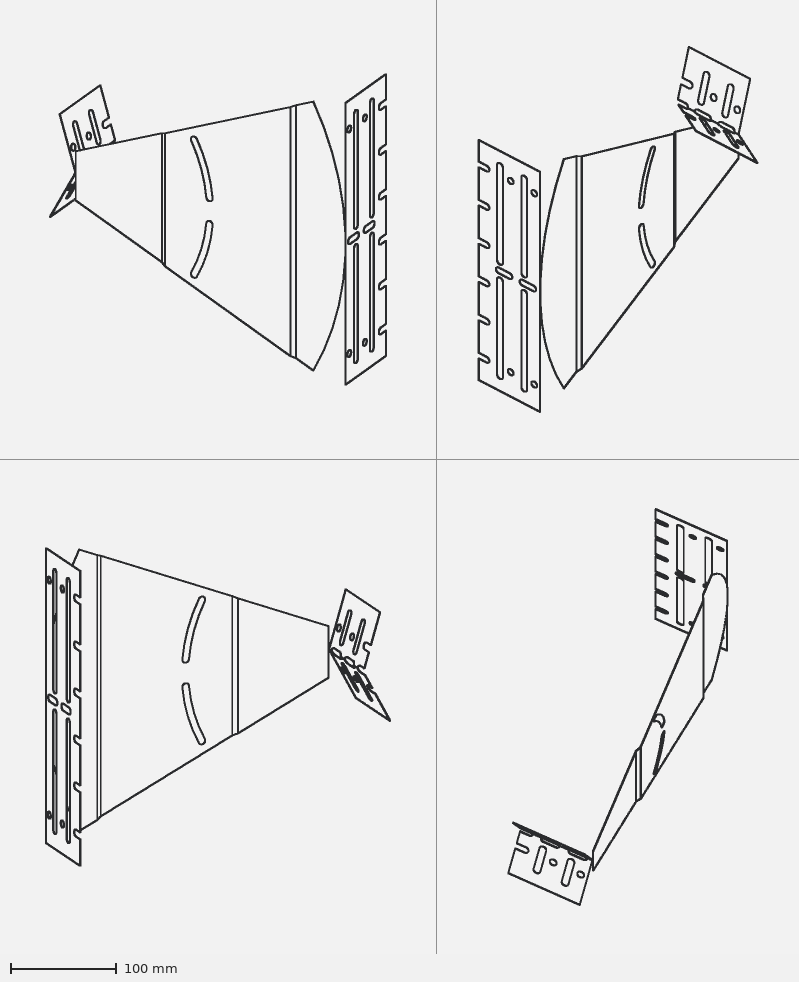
import cadquery as cq
import math

sheet = 0.8
strip_width = 75.0
cut_reach = 5.0

slot_width = 7.0
hole_heights = (7.2, 36.0)
long_slot_heights = (19.5, 49.0)
cross_slot_heights = (15.0, 44.0)
cross_slot_length = 20.0
notch_depth = 13.0
column_spacing = 47.0
long_slot_margin = 15.0

outer_length = 295.0
outer_slot_start = 8.0
outer_columns = 3
outer_face = 297.34

leg_length = 60.0
leg_slot_start = 10.0
bend_z = 2.8
upper_lean = 17.0
bend_angle = 45.0
lower_lean = bend_angle - upper_lean

floor_sheet = 0.8
floor_drop = 2.5
narrow_half = 25.8
wide_half = 140.8
step_run = 4.9
first_step = 95.0
second_step = 238.0
arc_slot_radius = 149.5
arc_slot_angles = (5.3, 28.1)


def slot_along_strip(start, end, height):
    """Round-ended cutter through X, running along Z between its two tips."""
    return (
        cq.Workplane("YZ")
        .center(height, (start + end) / 2)
        .slot2D(end - start, slot_width, 90)
        .extrude(cut_reach, both=True)
    )


def slot_across_strip(low, high, along):
    """Round-ended cutter through X, running along Y between its two tips."""
    return (
        cq.Workplane("YZ")
        .center((low + high) / 2, along)
        .slot2D(high - low, slot_width)
        .extrude(cut_reach, both=True)
    )


def notch(along):
    """Cutter for the slot that opens into the strip's free edge."""
    return slot_across_strip(strip_width - notch_depth, strip_width + notch_depth, along)


def round_holes(along):
    """Cutters for the column of fixing holes below a notch."""
    return (
        cq.Workplane("YZ")
        .pushPoints([(height, along) for height in hole_heights])
        .circle(slot_width / 2)
        .extrude(cut_reach, both=True)
    )


def cross_slots(along):
    """Cutters for the pair of slots across the middle of a strip."""
    cutters = [
        slot_across_strip(height - cross_slot_length / 2, height + cross_slot_length / 2, along)
        for height in cross_slot_heights
    ]
    return cutters[0].union(cutters[1])


def half_pattern(slot_start, half_length, hole_column):
    """Long slots and one hole column for the half of a strip on +Z."""
    cutter = round_holes(hole_column)
    for height in long_slot_heights:
        cutter = cutter.union(slot_along_strip(slot_start, half_length - long_slot_margin, height))
    return cutter


def make_outer_strip():
    half_length = outer_length / 2
    strip = cq.Workplane("XY").box(sheet, strip_width, outer_length, centered=(True, False, True))
    columns = [(column + 0.5) * column_spacing for column in range(outer_columns)]
    upper = half_pattern(outer_slot_start, half_length, columns[-1])
    for column in columns:
        upper = upper.union(notch(column))
    strip = strip.cut(upper).cut(upper.mirror("XY")).cut(cross_slots(0))
    return strip.translate((outer_face - sheet / 2, 0, 0))


def make_inner_strip():
    upper_dir = (-math.sin(math.radians(upper_lean)), math.cos(math.radians(upper_lean)))
    lower_dir = (-math.sin(math.radians(lower_lean)), -math.cos(math.radians(lower_lean)))
    half_bend = math.radians(bend_angle / 2)
    tilt = math.radians((lower_lean - upper_lean) / 2)
    inner_corner = (
        -sheet / math.cos(half_bend) * math.cos(tilt),
        bend_z + sheet / math.cos(half_bend) * math.sin(tilt),
    )
    upper_end = (leg_length * upper_dir[0], bend_z + leg_length * upper_dir[1])
    lower_end = (leg_length * lower_dir[0], bend_z + leg_length * lower_dir[1])
    strip = (
        cq.Workplane("XZ")
        .moveTo(0, bend_z)
        .lineTo(*upper_end)
        .lineTo(upper_end[0] - sheet * upper_dir[1], upper_end[1] + sheet * upper_dir[0])
        .lineTo(*inner_corner)
        .lineTo(lower_end[0] + sheet * lower_dir[1], lower_end[1] - sheet * lower_dir[0])
        .lineTo(*lower_end)
        .close()
        .extrude(-strip_width)
    )
    leg = half_pattern(leg_slot_start, leg_length, column_spacing / 2).union(notch(column_spacing / 2))
    upper = leg.rotate((0, 0, 0), (0, 1, 0), -upper_lean)
    lower = leg.mirror("XY").rotate((0, 0, 0), (0, 1, 0), lower_lean)
    bend = cross_slots(0).union(notch(0))
    for cutter in (upper, lower, bend):
        strip = strip.cut(cutter.translate((0, 0, bend_z)))
    return strip


def arc_slot():
    """Cutter for the curved slot on the +Z half of the floor plate."""
    middle = sum(arc_slot_angles) / 2

    def at(radius, angle):
        return (radius * math.cos(math.radians(angle)), radius * math.sin(math.radians(angle)))

    inside = arc_slot_radius - slot_width / 2
    outside = arc_slot_radius + slot_width / 2
    first, last = arc_slot_angles
    cutter = (
        cq.Workplane("XZ")
        .moveTo(*at(inside, first))
        .threePointArc(at(inside, middle), at(inside, last))
        .lineTo(*at(outside, last))
        .threePointArc(at(outside, middle), at(outside, first))
        .close()
        .extrude(cut_reach, both=True)
    )
    ends = (
        cq.Workplane("XZ")
        .pushPoints([at(arc_slot_radius, first), at(arc_slot_radius, last)])
        .circle(slot_width / 2)
        .extrude(cut_reach, both=True)
    )
    return cutter.union(ends)


def make_floor_plate():
    steps = [
        (0, 0),
        (first_step, 0),
        (first_step + step_run, -floor_drop),
        (second_step, -floor_drop),
        (second_step + step_run, 0),
        (outer_face, 0),
    ]
    lower_face = [(x, y - floor_sheet) for x, y in reversed(steps)]
    sheet_band = cq.Workplane("XY").polyline(steps + lower_face).close().extrude(outer_length / 2, both=True)
    corner_x = math.sqrt(outer_face**2 - wide_half**2)
    outline = (
        cq.Workplane("XZ")
        .moveTo(0, narrow_half)
        .lineTo(corner_x, wide_half)
        .threePointArc((outer_face, 0), (corner_x, -wide_half))
        .lineTo(0, -narrow_half)
        .close()
        .extrude(cut_reach, both=True)
    )
    slot = arc_slot()
    return sheet_band.intersect(outline).cut(slot).cut(slot.mirror("XY"))


outer_strip = make_outer_strip()
inner_strip = make_inner_strip()
floor_plate = make_floor_plate()
result = cq.Compound.makeCompound([floor_plate.val(), outer_strip.val(), inner_strip.val()])